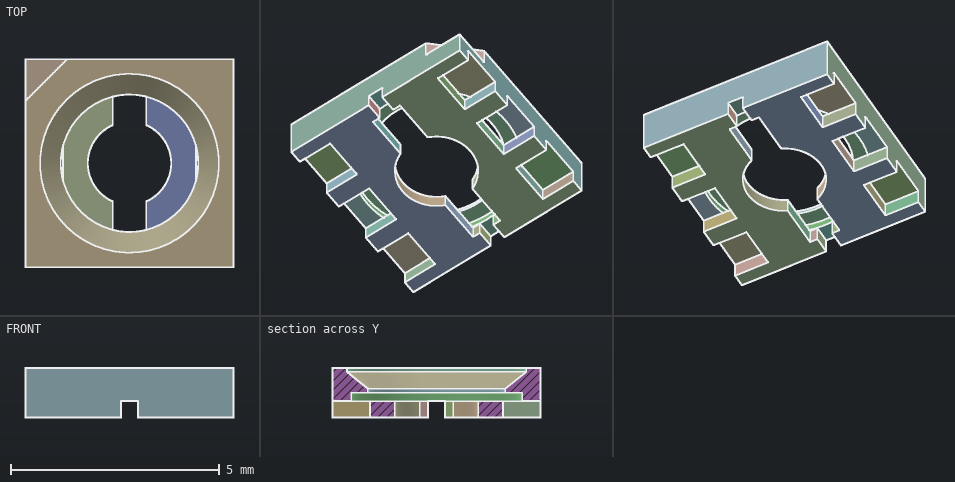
import cadquery as cq

side = 5.0
height = 1.2
half_side = side / 2

mouth_radius = 2.15
throat_radius = 1.65
straight_wall = 0.1

floor_top = 0.4
cavity_top = 0.6
cavity_radius = 2.05
center_hole_radius = 1.0
slot_width = 0.8
slot_length = 2 * cavity_radius

groove_width = 0.4
notch_width = 1.1
notch_pitch = 1.6
notch_inner_x = 1.6

corner_leg = 1.0
corner_step_z = 0.7


def floor_box(length_x, length_y, x=0.0, y=0.0):
    """Box through the full thickness of the floor plate, centered at (x, y)."""
    return cq.Workplane("XY").center(x, y).rect(length_x, length_y).extrude(floor_top)


def funnel_and_cavity():
    """Revolved space above the floor plate: cavity, throat, cone and mouth."""
    return (
        cq.Workplane("XZ")
        .moveTo(0, floor_top)
        .lineTo(cavity_radius, floor_top)
        .lineTo(cavity_radius, cavity_top)
        .lineTo(throat_radius, cavity_top)
        .lineTo(throat_radius, cavity_top + straight_wall)
        .lineTo(mouth_radius, height - straight_wall)
        .lineTo(mouth_radius, height)
        .lineTo(0, height)
        .close()
        .revolve(360, (0, 0, 0), (0, 1, 0))
    )


def corner_cut():
    """Triangular prism that leaves a step at one top corner."""
    return (
        cq.Workplane("XY", origin=(-half_side, half_side, corner_step_z))
        .polyline([(0, 0), (corner_leg, 0), (0, -corner_leg)])
        .close()
        .extrude(height - corner_step_z)
    )


result = cq.Workplane("XY").rect(side, side).extrude(height)
result = result.cut(funnel_and_cavity())

result = result.cut(cq.Workplane("XY").circle(center_hole_radius).extrude(floor_top))
result = result.cut(floor_box(slot_width, slot_length))

result = result.cut(floor_box(groove_width, side))

notch_depth = half_side - notch_inner_x
notch_center_x = half_side - notch_depth / 2
for side_sign in (-1, 1):
    for row in (-1, 0, 1):
        notch = floor_box(notch_depth, notch_width, side_sign * notch_center_x, row * notch_pitch)
        result = result.cut(notch)

result = result.cut(corner_cut())